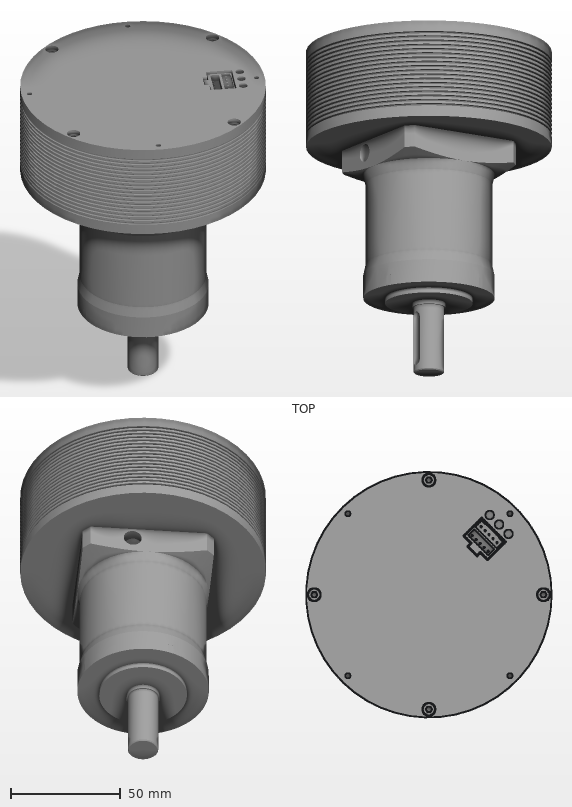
import cadquery as cq
import math

motor_radius = 56.0
cap_height = 5.0
groove_width = 1.0
fin_pitch = 2 * groove_width
groove_depth = 1.5
groove_count = 18
motor_height = 2 * cap_height + (groove_count - 1) * fin_pitch + groove_width

bolt_circle_radius = 52.2
fastener_spacing = 90
screw_start_angle = 0
plain_hole_start_angle = 45
plain_hole_diameter = 2.4
plain_hole_depth = cap_height

head_diameter = 5.5
head_height = 3.0
head_recess = 1.8
counterbore_diameter = 6.0
shank_diameter = 3.0
shank_length = 6.0
socket_corner_diameter = 2.9
socket_depth = 1.2
socket_cone_depth = 0.6

connector_angle = 45
window_diameter = 4.0
window_depth = 1.5
window_spacing = 6.0
window_row_radius = 45.2

socket_width = 15.7
socket_inner_edge = 30.0
socket_outer_edge = 41.9
connector_clearance = 0.5
connector_seat_depth = 5.3
connector_recess = 1.0
latch_width = 6.5
latch_length = 2.1
latch_depth = 1.5
inner_cavity_width = 12.9
inner_cavity_edges = (31.8, 35.7)
inner_cavity_depth = 3.3
outer_cavity_width = 13.8
outer_cavity_edges = (36.8, 40.9)
outer_cavity_depth = 1.2
key_notch_width = 9.1
key_notch_length = 0.3
pin_size = 0.64
pin_height = 0.8
pin_pitch = 2.5
pins_per_row = 5
pin_row_radii = (33.0, 38.7)

flange_size = 59.9
flange_angle = 45
flange_corner_radius = 40.1
flange_corner_height = 10.1
flange_height = 13.0
ring_radius = flange_size / 2
barrel_radius = 28.9
pilot_radius = 20.0
collar_radius = 7.5
shaft_radius = 7.0
shaft_chamfer = 0.5
barrel_top_z = -17.9
barrel_bottom_z = -55.8
ring_top_z = -60.7
ring_bottom_z = -71.3
pilot_bottom_z = -73.7
collar_bottom_z = -75.6
overall_length = 151.3
shaft_tip_z = motor_height - overall_length

access_hole_diameter = 8.2
access_floor_radius = 25.7
access_hole_offset = -7.4
access_hole_z = -5.3
access_hole_angles = (135, 315)

mark_width = 2.7
mark_height = 3.8
mark_depth = 0.08
mark_z = -68.4
mark_count = 4
mark_start_angle = 65

keyway_angle = 135
keyway_width = 5.0
keyway_length = 25.1
keyway_depth = 3.0
keyway_z = -91.1


def cylinder(diameter, height, x, y, bottom_z):
    """An upright cylinder standing on bottom_z."""
    return cq.Workplane("XY").center(x, y).circle(diameter / 2).extrude(height).translate((0, 0, bottom_z))


def block(width, near_edge, far_edge, bottom_z, top_z):
    """A box centred on local X that spans local Y from near_edge to far_edge."""
    return (
        cq.Workplane("XY")
        .box(width, far_edge - near_edge, top_z - bottom_z, centered=(True, False, False))
        .translate((0, near_edge, bottom_z))
    )


def turn(shape, angle):
    """Rotate a shape about the part's Z axis."""
    return shape.rotate((0, 0, 0), (0, 0, 1), angle)


def turn_to_connector(shape):
    """Swing the connector's local +Y axis to the connector direction."""
    return turn(shape, connector_angle - 90)


def connector_envelope(top_z, clearance):
    """The socket outline with its latch step, shrunk by clearance, from the socket floor up to top_z."""
    inner_edge = socket_inner_edge + clearance
    body = block(socket_width - 2 * clearance, inner_edge, socket_outer_edge - clearance,
                 motor_height - connector_seat_depth, top_z)
    latch = block(latch_width - 2 * clearance, inner_edge - latch_length, inner_edge,
                  motor_height - connector_recess - latch_depth, top_z)
    return body.union(latch)


def bolt_circle_points(start_angle):
    """The four bolt-circle places, as (x, y), from start_angle on."""
    points = []
    for index in range(360 // fastener_spacing):
        angle = math.radians(start_angle + index * fastener_spacing)
        points.append((bolt_circle_radius * math.cos(angle), bolt_circle_radius * math.sin(angle)))
    return points


def make_screw(x, y):
    """A cap screw with a hexagonal socket that ends in a cone."""
    head_top = motor_height - head_recess
    head_bottom = head_top - head_height
    screw = cylinder(head_diameter, head_height, x, y, head_bottom)
    screw = screw.union(cylinder(shank_diameter, shank_length, x, y, head_bottom - shank_length))
    socket = (
        cq.Workplane("XY")
        .polygon(6, socket_corner_diameter)
        .extrude(-socket_depth)
        .translate((x, y, head_top))
    )
    socket_radius = socket_corner_diameter / 2 * math.cos(math.pi / 6)
    tip = cq.Solid.makeCone(socket_radius, 0, socket_cone_depth,
                            cq.Vector(x, y, head_top - socket_depth), cq.Vector(0, 0, -1))
    return screw.cut(socket).cut(cq.Workplane(tip))


def make_motor():
    """The finned drum with its screw holes, plain holes, windows and connector socket."""
    motor = cylinder(2 * motor_radius, motor_height, 0, 0, 0)

    for index in range(groove_count):
        groove = (
            cq.Workplane("XY")
            .circle(motor_radius)
            .circle(motor_radius - groove_depth)
            .extrude(groove_width)
            .translate((0, 0, cap_height + index * fin_pitch))
        )
        motor = motor.cut(groove)

    seat_depth = head_recess + head_height
    for x, y in bolt_circle_points(screw_start_angle):
        seat_z = motor_height - seat_depth
        motor = motor.cut(cylinder(counterbore_diameter, seat_depth, x, y, seat_z))
        motor = motor.cut(cylinder(shank_diameter, shank_length, x, y, seat_z - shank_length))

    for x, y in bolt_circle_points(plain_hole_start_angle):
        plain_hole_z = motor_height - plain_hole_depth
        motor = motor.cut(cylinder(plain_hole_diameter, plain_hole_depth, x, y, plain_hole_z))

    for step in (-1, 0, 1):
        window = cylinder(window_diameter, window_depth, step * window_spacing, window_row_radius,
                          motor_height - window_depth)
        motor = motor.cut(turn_to_connector(window))

    return motor.cut(turn_to_connector(connector_envelope(motor_height, 0)))


def make_connector():
    """The sunken connector: a block with two open cavities and a row of pins in each."""
    top_z = motor_height - connector_recess
    connector = connector_envelope(top_z, connector_clearance)

    inner_floor_z = top_z - inner_cavity_depth
    outer_floor_z = top_z - outer_cavity_depth
    connector = connector.cut(block(inner_cavity_width, *inner_cavity_edges, inner_floor_z, top_z))
    connector = connector.cut(block(outer_cavity_width, *outer_cavity_edges, outer_floor_z, top_z))

    notch_start = outer_cavity_edges[1]
    connector = connector.cut(
        block(key_notch_width, notch_start, notch_start + key_notch_length, outer_floor_z, top_z)
    )

    for row_radius, floor_z in zip(pin_row_radii, (inner_floor_z, outer_floor_z)):
        for index in range(pins_per_row):
            pin_x = (index - (pins_per_row - 1) / 2) * pin_pitch
            pin = block(pin_size, row_radius - pin_size / 2, row_radius + pin_size / 2,
                        floor_z, floor_z + pin_height)
            connector = connector.union(pin.translate((pin_x, 0, 0)))

    return turn_to_connector(connector)


def make_flange():
    """The square flange, with its corners rounded and its underside coned."""
    square = turn(cq.Workplane("XY").rect(flange_size, flange_size).extrude(-flange_height), flange_angle)
    cone_limit = (
        cq.Workplane("XZ")
        .polyline([
            (0, 0),
            (flange_corner_radius, 0),
            (flange_corner_radius, -flange_corner_height),
            (ring_radius, -flange_height),
            (0, -flange_height),
        ])
        .close()
        .revolve(360, (0, 0, 0), (0, 1, 0))
    )
    return square.intersect(cone_limit)


def make_gearbox():
    """The flange, barrel, end ring, pilot and keyed shaft in one body."""
    turned = (
        cq.Workplane("XZ")
        .polyline([
            (0, -flange_height),
            (ring_radius, -flange_height),
            (barrel_radius, barrel_top_z),
            (barrel_radius, barrel_bottom_z),
            (ring_radius, ring_top_z),
            (ring_radius, ring_bottom_z),
            (pilot_radius, ring_bottom_z),
            (pilot_radius, pilot_bottom_z),
            (collar_radius, pilot_bottom_z),
            (collar_radius, collar_bottom_z),
            (shaft_radius, collar_bottom_z),
            (shaft_radius, shaft_tip_z + shaft_chamfer),
            (shaft_radius - shaft_chamfer, shaft_tip_z),
            (0, shaft_tip_z),
        ])
        .close()
        .revolve(360, (0, 0, 0), (0, 1, 0))
    )
    gearbox = make_flange().union(turned)

    access_hole = (
        cq.Workplane("YZ")
        .center(access_hole_offset, access_hole_z)
        .circle(access_hole_diameter / 2)
        .extrude(flange_size / 2)
        .cut(cylinder(2 * access_floor_radius, flange_height, 0, 0, -flange_height))
    )
    for angle in access_hole_angles:
        gearbox = gearbox.cut(turn(access_hole, angle))

    mark = (
        cq.Workplane("XY")
        .box(2 * mark_depth, mark_width, mark_height)
        .translate((ring_radius, 0, mark_z))
    )
    for index in range(mark_count):
        gearbox = gearbox.cut(turn(mark, mark_start_angle + index * 360 / mark_count))

    keyway = (
        cq.Workplane("YZ")
        .slot2D(keyway_length, keyway_width, 90)
        .extrude(-keyway_depth)
        .translate((shaft_radius, 0, keyway_z))
    )
    return gearbox.cut(turn(keyway, keyway_angle))


motor = make_motor()
gearbox = make_gearbox()
connector = make_connector()
screws = [make_screw(x, y) for x, y in bolt_circle_points(screw_start_angle)]

result = cq.Compound.makeCompound([
    motor.val(),
    gearbox.val(),
    connector.val(),
    *[screw.val() for screw in screws],
])